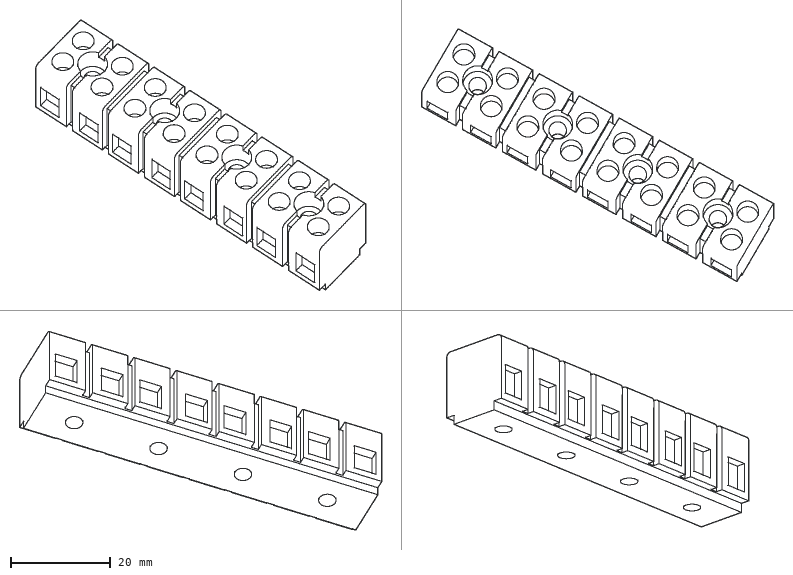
import cadquery as cq

length = 72.75
width = 15.0
height = 16.1

foot_height = 2.0
foot_inset = 2.0
edge_radius = 1.0

terminal_count = 8
groove_pitch = 9.25
groove_width = 1.5
groove_depth = 1.5

mount_pitch = 2 * groove_pitch
mount_count = terminal_count // 2
mount_diameter = 3.5
counterbore_diameter = 6.0
counterbore_depth = 5.0

terminal_offset = 5.0
well_diameter = 4.4
well_offset_y = 3.3
well_depth = 5.0
window_width = 4.7
window_height = 6.2
window_bottom = 3.5
window_depth = 2.0


def centred_row(count, pitch):
    """Evenly spaced positions centred on zero."""
    return [(i - (count - 1) / 2) * pitch for i in range(count)]


groove_xs = centred_row(terminal_count - 1, groove_pitch)
mount_xs = centred_row(mount_count, mount_pitch)
terminal_xs = [x + side * terminal_offset for x in mount_xs for side in (-1, 1)]


def make_body():
    """Block with rounded top edges, standing on a narrower foot."""
    block = (
        cq.Workplane("XY", origin=(0, 0, foot_height))
        .box(length, width, height - foot_height, centered=(True, True, False))
        .edges("|X and >Z")
        .fillet(edge_radius)
    )
    foot = cq.Workplane("XY").box(
        length, width - 2 * foot_inset, foot_height, centered=(True, True, False)
    )
    return block.union(foot)


def make_grooves():
    """Slots over the top and down both sides of the block, ending at the foot."""
    slot_height = height - foot_height
    slots = (
        cq.Workplane("XY", origin=(0, 0, foot_height))
        .pushPoints([(x, 0) for x in groove_xs])
        .rect(groove_width, width)
        .extrude(slot_height)
    )
    core = cq.Workplane("XY", origin=(0, 0, foot_height)).box(
        length,
        width - 2 * groove_depth,
        slot_height - groove_depth,
        centered=(True, True, False),
    )
    return slots.cut(core)


def make_top_wells(points, diameter, depth):
    """Round wells sunk from the top face."""
    return (
        cq.Workplane("XY", origin=(0, 0, height - depth))
        .pushPoints(points)
        .circle(diameter / 2)
        .extrude(depth)
    )


def make_windows():
    """Rectangular wire entries in both long sides."""
    window_y = (width - window_depth) / 2
    window_z = window_bottom + window_height / 2
    centres = [(x, side * window_y, window_z) for x in terminal_xs for side in (-1, 1)]
    return cq.Workplane("XY").pushPoints(centres).box(window_width, window_depth, window_height)


mount_points = [(x, 0) for x in mount_xs]
well_points = [(x, side * well_offset_y) for x in terminal_xs for side in (-1, 1)]

result = (
    make_body()
    .cut(make_grooves())
    .cut(make_top_wells(mount_points, mount_diameter, height))
    .cut(make_top_wells(mount_points, counterbore_diameter, counterbore_depth))
    .cut(make_top_wells(well_points, well_diameter, well_depth))
    .cut(make_windows())
)